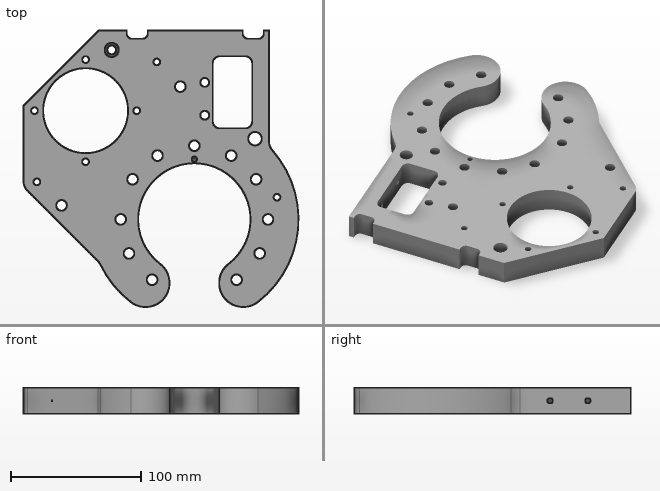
import cadquery as cq
import math

thickness = 20.0
mid_height = thickness / 2

arm_outer_radius = 80.0
bore_radius = 43.0
arm_mid_radius = (arm_outer_radius + bore_radius) / 2
arm_tip_radius = (arm_outer_radius - bore_radius) / 2
arm_tip_half_angle = 37.5

left_x = -131.12
right_x = 57.4
top_y = 145.0
upper_chamfer_offset = 154.4
lower_chamfer_offset = 75.0
corner_radius = 10.0

slant_direction = 225.0
minus_y_direction = 270.0
quarter_turn = 90.0
full_turn = 360.0

port_x = -83.4
port_y = 83.4
port_diameter = 65.0
port_hole_circle_radius = 39.2
small_hole_diameter = 5.0

window_x = 29.25
window_y = 97.5
window_width = 30.0
window_length = 55.0
window_corner_radius = 5.0
cross_hole_diameter = 4.2
cross_hole_spacing = 29.0

notch_centers_x = (-43.8, 45.2)
notch_width = 16.0
notch_depth = 6.4
notch_corner_radius = 4.0

bolt_circle_radius = 56.5
bolt_hole_diameter = 8.0
bolt_side_angles = (60.0, 33.0, 0.0, -27.5, -55.0)

body_bolt_centers = ((-10.75, 101.85), (-101.85, 10.75))
body_pin_centers = ((-28.8, 120.8), (-120.8, 28.8), (63.4, 17.0))
window_side_hole_x = 8.0
window_side_hole_y = 92.5
window_side_hole_spacing = 25.2
window_side_hole_diameter = 6.6
pivot_center = (46.55, 61.9)
pivot_diameter = 10.2

screw_center = (-63.4, 130.0)
screw_diameter = 6.6
counterbore_diameter = 11.0
counterbore_depth = 10.0

blind_y = 46.2
blind_diameter = 4.2
blind_depth = 10.0
drill_point_angle = 118.0

passage_diameter = 0.4


def polar(radius, degrees):
    angle = math.radians(degrees)
    return (radius * math.cos(angle), radius * math.sin(angle))


def drill(body, centers, diameter):
    """Cut round holes through the full thickness."""
    return body.cut(cq.Workplane("XY").pushPoints(centers).circle(diameter / 2).extrude(thickness))


def make_outline():
    """Plate body and C-shaped arms, with the side corners rounded."""
    left_tip_angle = minus_y_direction - arm_tip_half_angle
    right_tip_angle = minus_y_direction + arm_tip_half_angle
    left_tip = polar(arm_mid_radius, left_tip_angle)
    tip_offset = polar(arm_tip_radius, -arm_tip_half_angle)
    left_tip_end = (left_tip[0] + tip_offset[0], left_tip[1] + tip_offset[1])
    right_tip_end = (-left_tip_end[0], left_tip_end[1])

    right_join_angle = math.degrees(math.acos(right_x / arm_outer_radius))
    lower_join_turn = math.degrees(math.acos(lower_chamfer_offset / arm_outer_radius))
    lower_join_angle = slant_direction - lower_join_turn
    lower_join = polar(arm_outer_radius, lower_join_angle)
    right_join = polar(arm_outer_radius, right_join_angle)

    upper_rise = upper_chamfer_offset * math.sqrt(2)
    lower_rise = lower_chamfer_offset * math.sqrt(2)
    lower_left = (left_x, -lower_rise - left_x)

    plate = (
        cq.Workplane("XY")
        .moveTo(*lower_left)
        .lineTo(*lower_join)
        .threePointArc(
            polar(arm_outer_radius, (lower_join_angle + left_tip_angle) / 2),
            polar(arm_outer_radius, left_tip_angle),
        )
        .threePointArc(left_tip_end, polar(bore_radius, left_tip_angle))
        .threePointArc((0, bore_radius), polar(bore_radius, right_tip_angle))
        .threePointArc(right_tip_end, polar(arm_outer_radius, right_tip_angle))
        .threePointArc((arm_outer_radius, 0), right_join)
        .lineTo(right_x, top_y)
        .lineTo(top_y - upper_rise, top_y)
        .lineTo(left_x, left_x + upper_rise)
        .close()
        .extrude(thickness)
    )
    for corner in (lower_left, lower_join, right_join):
        nearest = cq.selectors.NearestToPointSelector((corner[0], corner[1], mid_height))
        plate = plate.edges("|Z").edges(nearest).fillet(corner_radius)
    return plate


def cut_port(body):
    """Large opening with four holes around it."""
    body = drill(body, [(port_x, port_y)], port_diameter)
    offsets = [polar(port_hole_circle_radius, quarter * quarter_turn) for quarter in range(4)]
    return drill(body, [(port_x + x, port_y + y) for x, y in offsets], small_hole_diameter)


def cut_window(body):
    """Rounded window and two holes running through the wall to its right."""
    window = (
        cq.Workplane("XY")
        .center(window_x, window_y)
        .rect(window_width, window_length)
        .extrude(thickness)
        .edges("|Z")
        .fillet(window_corner_radius)
    )
    cross_holes = (
        cq.Workplane("YZ", origin=(window_x, window_y, mid_height))
        .rarray(cross_hole_spacing, 1, 2, 1)
        .circle(cross_hole_diameter / 2)
        .extrude(right_x - window_x)
    )
    return body.cut(window).cut(cross_holes)


def cut_notches(body):
    """Notches in the top edge with rounded bottom corners."""
    for x in notch_centers_x:
        notch = (
            cq.Workplane("XY")
            .center(x, top_y)
            .rect(notch_width, 2 * notch_depth)
            .extrude(thickness)
            .edges("|Z")
            .fillet(notch_corner_radius)
        )
        body = body.cut(notch)
    return body


def cut_vertical_holes(body):
    """Plain through holes of the clamp and the plate body."""
    right_bolts = [polar(bolt_circle_radius, angle) for angle in bolt_side_angles]
    left_bolts = [(-x, y) for x, y in right_bolts]
    clamp_bolts = [(0, bolt_circle_radius)] + right_bolts + left_bolts
    body = drill(body, clamp_bolts, bolt_hole_diameter)
    body = drill(body, body_bolt_centers, bolt_hole_diameter)
    body = drill(body, body_pin_centers, small_hole_diameter)
    window_side_holes = [
        (window_side_hole_x, window_side_hole_y + side * window_side_hole_spacing / 2)
        for side in (-1, 1)
    ]
    body = drill(body, window_side_holes, window_side_hole_diameter)
    return drill(body, [pivot_center], pivot_diameter)


def cut_screw_hole(body):
    """Through hole with a counterbore from the top face."""
    body = drill(body, [screw_center], screw_diameter)
    counterbore = (
        cq.Workplane("XY", origin=(0, 0, thickness - counterbore_depth))
        .center(*screw_center)
        .circle(counterbore_diameter / 2)
        .extrude(counterbore_depth)
    )
    return body.cut(counterbore)


def cut_blind_hole(body):
    """Drilled hole from the top face, ending in a conical drill point."""
    radius = blind_diameter / 2
    point_length = radius / math.tan(math.radians(drill_point_angle / 2))
    profile = (
        cq.Workplane("XZ", origin=(0, blind_y, 0))
        .moveTo(0, thickness)
        .lineTo(radius, thickness)
        .lineTo(radius, thickness - blind_depth)
        .lineTo(0, thickness - blind_depth - point_length)
        .close()
    )
    return body.cut(profile.revolve(full_turn, (0, 0, 0), (0, 1, 0)))


def cut_passage(body):
    """Tiny passage square to the lower-left side, ending in a bolt hole."""
    bolt_x, bolt_y = body_bolt_centers[1]
    length = lower_chamfer_offset + (bolt_x + bolt_y) / math.sqrt(2)
    passage = cq.Solid.makeCylinder(
        passage_diameter / 2,
        length,
        cq.Vector(bolt_x, bolt_y, mid_height),
        cq.Vector(-1, -1, 0),
    )
    return body.cut(cq.Workplane(passage))


result = make_outline()
result = cut_port(result)
result = cut_window(result)
result = cut_notches(result)
result = cut_vertical_holes(result)
result = cut_screw_hole(result)
result = cut_blind_hole(result)
result = cut_passage(result)